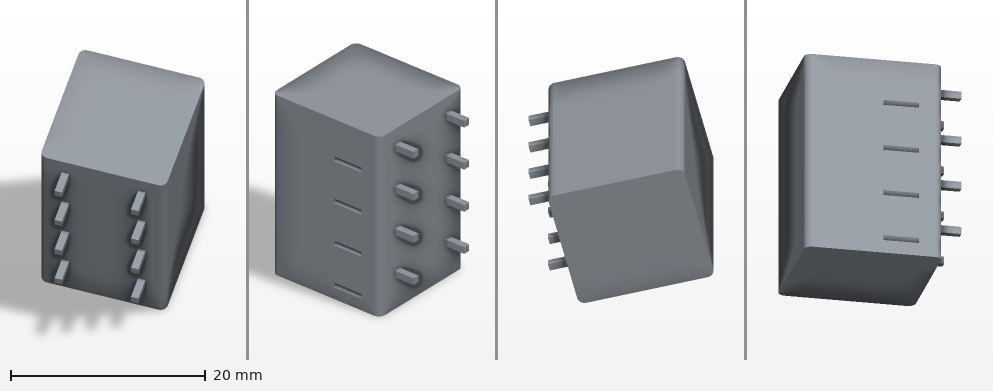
import cadquery as cq

WIDTH = 13.5
OVERALL_DEPTH = 16.9
HEIGHT = 21.4

PIN_SIZE = 0.8
PIN_LENGTH = 2.5
COLUMN_SPACING = 8.2
COLUMN_OFFSET = 0.1
TOP_PIN_DROP = 2.18

DEPTH = OVERALL_DEPTH - PIN_LENGTH
CORNER_RADIUS = 0.8

SLOT_LENGTH = 3.7
SLOT_HEIGHT = 0.54
SLOT_DEPTH = 0.54
SLOT_BACK_HEIGHT = 0.05
SLOT_SETBACK = 2.48
TOP_SLOT_DROP = 4.7

ROW_COUNT = 4
ROW_PITCH = 5.0

LEFT_FACE_X = -WIDTH / 2
FRONT_FACE_Y = -DEPTH / 2


def row_heights(top_drop):
    """Z of each row, the highest lying top_drop below the top face."""
    return [HEIGHT / 2 - top_drop - row * ROW_PITCH for row in range(ROW_COUNT)]


def housing():
    """Block with rounded vertical edges, centred on the origin."""
    block = cq.Workplane("XY").box(WIDTH, DEPTH, HEIGHT)
    return block.edges("|Z").fillet(CORNER_RADIUS)


def pins():
    columns = [COLUMN_OFFSET + side * COLUMN_SPACING / 2 for side in (-1, 1)]
    centers = [(x, z) for x in columns for z in row_heights(TOP_PIN_DROP)]
    return (
        cq.Workplane("XZ", origin=(0, FRONT_FACE_Y, 0))
        .pushPoints(centers)
        .rect(PIN_SIZE, PIN_SIZE)
        .extrude(PIN_LENGTH)
    )


def slot(center_z):
    """Cutter with a flat floor and a roof sloping down to a low back wall."""
    floor_z = center_z - SLOT_HEIGHT / 2
    back_x = LEFT_FACE_X + SLOT_DEPTH
    return (
        cq.Workplane("XZ", origin=(0, FRONT_FACE_Y + SLOT_SETBACK, 0))
        .moveTo(LEFT_FACE_X, floor_z)
        .lineTo(LEFT_FACE_X, floor_z + SLOT_HEIGHT)
        .lineTo(back_x, floor_z + SLOT_BACK_HEIGHT)
        .lineTo(back_x, floor_z)
        .close()
        .extrude(-SLOT_LENGTH)
    )


result = housing().union(pins())
for slot_z in row_heights(TOP_SLOT_DROP):
    result = result.cut(slot(slot_z))